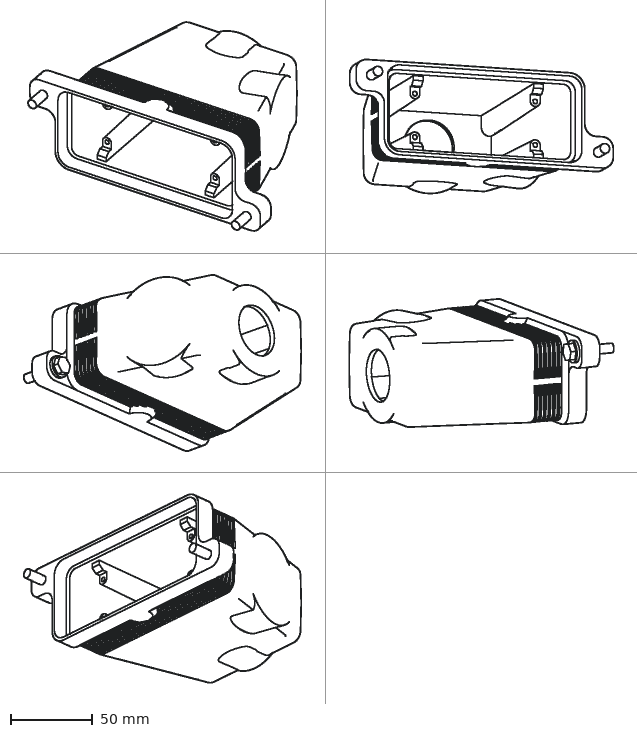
import cadquery as cq
import math


FLANGE_HALF_X = 64.5
FLANGE_HALF_Z = 29.0
FLANGE_THICKNESS = 12.2
FLANGE_CORNER_RADIUS = 10.0
EAR_END_X = 82.75
EAR_INNER_Z = 9.5
EAR_CORNER_RADIUS = 7.0
SHOULDER_HEIGHT = 3.2

HOOD_LENGTH = 110.0
HOOD_HALF_X = 61.5
HOOD_HALF_Z = 26.1
KINK_Y = 35.4
SIDE_ANGLE = 15.0
DRAFT_ANGLE = 1.0
HOOD_CORNER_RADIUS = 7.0
END_FILLET = 3.0

PANEL_DEPTH = 0.3
PANEL_BOTTOM_Y = 43.2
PANEL_TOP_Y = 99.2
PANEL_SLOPE = 1.5

GROOVE_COUNT = 6
GROOVE_PITCH = 3.06
FIRST_GROOVE_Y = 17.5
GROOVE_DEPTH = 0.6
GROOVE_MOUTH = 2.5
GROOVE_FLOOR = 0.5
GROOVE_GAP_HALF = 2.2

BOSS_RADIUS = FLANGE_HALF_Z
BOSS_TIP_RADIUS = 22.0
BOSS_TAIL_FILLET = 5.5
END_BOSS_START_Y = 90.3
BOSS_INSET = 0.35
SIDE_BOSS_Y = 75.0
SIDE_BOSS_LENGTH = 22.0
CABLE_HOLE_RADIUS = 16.1

THUMB_PAD_RADIUS = 8.0
THUMB_PAD_HEIGHT = 4.0

RECESS_STAGES = [
    (0.0, 62.5, 26.9, 8.0),
    (2.5, 62.0, 26.4, 7.5),
    (6.0, 62.0, 26.4, 7.5),
    (9.0, 61.3, 25.7, 6.8),
]

CAVITY_MOUTH_Y = RECESS_STAGES[-1][0]
CAVITY_KINK_Y = 36.0
CAVITY_END_Y = 106.5
CAVITY_MOUTH_HALF_X = 58.3
CAVITY_KINK_HALF_X = 57.3
CAVITY_END_HALF_X = 40.1
CAVITY_MOUTH_HALF_Z = 23.4
CAVITY_END_HALF_Z = 20.9
CAVITY_CORNER_RADIUS = 5.0

POST_X = 38.7
POST_Z = 13.5
POST_FACE_Y = 18.4
POST_RADIUS = 3.15
POST_BASE_RADIUS = 5.1
POST_BACK_Y = 107.5
POST_ROOT_Z = 24.0
POST_HOLE_RADIUS = 1.4
POST_HOLE_DEPTH = 10.0
TONGUE_SIDE_Z = 17.6
TONGUE_TIP_Z = 20.5
TONGUE_SHOULDER_Y = 15.3
TONGUE_TIP_Y = 12.2

SCREW_X = 73.0
SCREW_Z = 19.4
SCREW_RADIUS = 3.0
SCREW_PROJECTION = 13.0
WASHER_RADIUS = 6.9
WASHER_THICKNESS = 1.8
HEX_ACROSS_CORNERS = 11.5
HEX_HEIGHT = 3.6
HEX_TURN = 12.0

CUTTER_SIZE = 4 * EAR_END_X


def mirrored_outline(half_outline):
    """Close a right-hand chain of (x, y) points with its mirror image about x = 0."""
    return half_outline + [(-x, y) for x, y in reversed(half_outline)]


def upright(y):
    """Workplane at height y with its normal along +Y and its second axis along +Z."""
    return cq.Workplane(cq.Plane(origin=(0, y, 0), xDir=(-1, 0, 0), normal=(0, 1, 0)))


def rounded_wire(y, half_x, half_z, radius):
    """Outline of a rounded rectangle at height y, taken from the foot of a short block."""
    outline = cq.Sketch().rect(2 * half_x, 2 * half_z).vertices().fillet(radius)
    return upright(y).placeSketch(outline).extrude(radius).faces("<Y").wires().val()


def staged_solid(stages):
    """Stack of straight-sided lofts through successive rounded rectangles."""
    wires = [rounded_wire(*stage) for stage in stages]
    pieces = [cq.Solid.makeLoft([low, high], True) for low, high in zip(wires, wires[1:])]
    body = cq.Workplane(pieces[0])
    for piece in pieces[1:]:
        body = body.union(cq.Workplane(piece))
    return body


def make_flange():
    """Flange plate with two diagonally opposite screw ears, and the shoulder on top of it."""
    half_outline = [
        (EAR_END_X, -FLANGE_HALF_Z),
        (EAR_END_X, -EAR_INNER_Z),
        (FLANGE_HALF_X, -EAR_INNER_Z),
        (FLANGE_HALF_X, FLANGE_HALF_Z),
    ]
    outline = half_outline + [(-x, -z) for x, z in half_outline]
    plate = cq.Workplane("XZ").polyline(outline).close().extrude(-FLANGE_THICKNESS)
    for x, z in outline:
        is_body_corner = abs(x) == FLANGE_HALF_X and abs(z) == FLANGE_HALF_Z
        radius = FLANGE_CORNER_RADIUS if is_body_corner else EAR_CORNER_RADIUS
        corner = cq.selectors.NearestToPointSelector((x, FLANGE_THICKNESS / 2, z))
        plate = plate.edges("|Y").edges(corner).fillet(radius)
    shoulder = staged_solid([
        (FLANGE_THICKNESS, FLANGE_HALF_X, FLANGE_HALF_Z, FLANGE_CORNER_RADIUS),
        (FLANGE_THICKNESS + SHOULDER_HEIGHT, HOOD_HALF_X, HOOD_HALF_Z, HOOD_CORNER_RADIUS),
    ])
    return plate.union(shoulder)


def hood_half_width(y):
    """Half width of the hood on the parting plane, above the kink."""
    return HOOD_HALF_X - (y - KINK_Y) * math.tan(math.radians(SIDE_ANGLE))


def make_hood():
    """Solid hood standing on the flange, drafted both ways from the parting plane."""
    half_outline = [
        (HOOD_HALF_X, 0),
        (HOOD_HALF_X, KINK_Y),
        (hood_half_width(HOOD_LENGTH), HOOD_LENGTH),
    ]
    outline = mirrored_outline(half_outline)
    upper = cq.Workplane("XY").polyline(outline).close().extrude(HOOD_HALF_Z, taper=DRAFT_ANGLE)
    upper = upper.edges(">Z").edges("not |X").fillet(HOOD_CORNER_RADIUS)
    upper = upper.faces(">Y").edges("not(<Z)").fillet(END_FILLET)
    hood = upper.union(upper.mirror("XY"))
    flange_space = upright(0).rect(CUTTER_SIZE, CUTTER_SIZE).extrude(FLANGE_THICKNESS)
    return hood.cut(flange_space)


def make_panel_cut():
    """Material removed from both broad faces to sink the panels."""
    outline = [
        (PANEL_BOTTOM_Y, HOOD_HALF_Z),
        (PANEL_BOTTOM_Y + PANEL_SLOPE, HOOD_HALF_Z - PANEL_DEPTH),
        (PANEL_TOP_Y - PANEL_SLOPE, HOOD_HALF_Z - PANEL_DEPTH),
        (PANEL_TOP_Y, HOOD_HALF_Z),
    ]
    cut = cq.Workplane("YZ").polyline(outline).close().extrude(HOOD_HALF_X, both=True)
    return cut.union(cut.mirror("XY"))


def make_grooves():
    """Grip grooves with sloped flanks, running round the hood except beside the parting plane."""
    grooves = cq.Workplane("XY")
    half_mouth = GROOVE_MOUTH / 2
    half_floor = GROOVE_FLOOR / 2
    outer = (HOOD_HALF_X, HOOD_HALF_Z, HOOD_CORNER_RADIUS)
    inner = tuple(size - GROOVE_DEPTH for size in outer)
    for index in range(GROOVE_COUNT):
        y = FIRST_GROOVE_Y + index * GROOVE_PITCH
        core = staged_solid([
            (y - half_mouth, *outer),
            (y - half_floor, *inner),
            (y + half_floor, *inner),
            (y + half_mouth, *outer),
        ])
        ring = upright(y - half_mouth).rect(CUTTER_SIZE, CUTTER_SIZE).extrude(GROOVE_MOUTH)
        grooves = grooves.add(ring.cut(core))
    strip = cq.Workplane("XY").box(CUTTER_SIZE, CUTTER_SIZE, 2 * GROOVE_GAP_HALF)
    return grooves.combine().cut(strip)


def make_boss(length):
    """Boss along +Y ending at y = length, with a 45 degree tail below y = 0."""
    tail = BOSS_RADIUS - BOSS_TIP_RADIUS
    profile = [(0, -tail), (BOSS_TIP_RADIUS, -tail), (BOSS_RADIUS, 0), (BOSS_RADIUS, length), (0, length)]
    boss = cq.Workplane("XY").polyline(profile).close().revolve(360, (0, 0, 0), (0, 1, 0))
    tail_edge = cq.selectors.RadiusNthSelector(-1)
    return boss.edges("not >Y").edges("%CIRCLE").edges(tail_edge).fillet(BOSS_TAIL_FILLET)


def make_end_boss():
    length = HOOD_LENGTH - BOSS_INSET - END_BOSS_START_Y
    return make_boss(length).translate((0, END_BOSS_START_Y, 0))


def make_side_boss():
    """Boss square to the leaning +X side."""
    boss = make_boss(SIDE_BOSS_LENGTH - BOSS_INSET).translate((0, -SIDE_BOSS_LENGTH, 0))
    boss = boss.rotate((0, 0, 0), (0, 0, 1), SIDE_ANGLE - 90)
    return boss.translate((hood_half_width(SIDE_BOSS_Y), SIDE_BOSS_Y, 0))


def make_thumb_pads():
    """Half-round pads level with the flange edge, sloping down to the broad faces."""
    foot = FLANGE_HALF_Z - THUMB_PAD_HEIGHT
    cone = cq.Solid.makeCone(
        THUMB_PAD_RADIUS + THUMB_PAD_HEIGHT, THUMB_PAD_RADIUS, THUMB_PAD_HEIGHT,
        cq.Vector(0, FLANGE_THICKNESS, foot), cq.Vector(0, 0, 1))
    hood_side = upright(FLANGE_THICKNESS).rect(CUTTER_SIZE, CUTTER_SIZE).extrude(HOOD_LENGTH)
    pad = cq.Workplane(cone).intersect(hood_side)
    return pad.union(pad.mirror("XY"))


def make_cavity():
    """Interior with kinked sides, rounded along its four lengthwise corners."""
    half_plan = [
        (CAVITY_MOUTH_HALF_X, CAVITY_MOUTH_Y),
        (CAVITY_KINK_HALF_X, CAVITY_KINK_Y),
        (CAVITY_END_HALF_X, CAVITY_END_Y),
    ]
    plan = mirrored_outline(half_plan)
    wedge = [
        (CAVITY_MOUTH_Y, CAVITY_MOUTH_HALF_Z),
        (CAVITY_END_Y, CAVITY_END_HALF_Z),
        (CAVITY_END_Y, -CAVITY_END_HALF_Z),
        (CAVITY_MOUTH_Y, -CAVITY_MOUTH_HALF_Z),
    ]
    cavity = cq.Workplane("XY").polyline(plan).close().extrude(CAVITY_MOUTH_HALF_Z, both=True)
    cavity = cavity.intersect(cq.Workplane("YZ").polyline(wedge).close().extrude(HOOD_HALF_X, both=True))
    return cavity.edges("not(|X or |Z)").fillet(CAVITY_CORNER_RADIUS)


def make_cable_hole():
    """Round opening through the end wall."""
    return upright(CAVITY_KINK_Y).circle(CABLE_HOLE_RADIUS).extrude(HOOD_LENGTH)


def make_post():
    """Tapered screw post on the +X, +Z side with a locating tongue beside the wall."""
    sections = []
    for y, radius in [(POST_FACE_Y, POST_RADIUS), (POST_BACK_Y, POST_BASE_RADIUS)]:
        section = (
            cq.Workplane("XZ", origin=(POST_X, y, 0))
            .moveTo(-radius, POST_ROOT_Z)
            .lineTo(-radius, POST_Z)
            .threePointArc((0, POST_Z - radius), (radius, POST_Z))
            .lineTo(radius, POST_ROOT_Z)
            .close()
        )
        sections.append(section.wires().val())
    post = cq.Workplane(cq.Solid.makeLoft(sections, True))
    tongue_outline = [
        (POST_FACE_Y, TONGUE_SIDE_Z),
        (TONGUE_SHOULDER_Y, TONGUE_SIDE_Z),
        (TONGUE_TIP_Y, TONGUE_TIP_Z),
        (TONGUE_TIP_Y, CAVITY_MOUTH_HALF_Z),
        (POST_FACE_Y, POST_ROOT_Z),
    ]
    tongue = cq.Workplane("YZ", origin=(POST_X, 0, 0)).polyline(tongue_outline).close()
    post = post.union(tongue.extrude(POST_RADIUS, both=True))
    hole = cq.Workplane("XZ", origin=(POST_X, POST_FACE_Y, POST_Z))
    return post.cut(hole.circle(POST_HOLE_RADIUS).extrude(-POST_HOLE_DEPTH))


def make_posts():
    post = make_post()
    pair = post.union(post.mirror("XY"))
    return pair.union(pair.mirror("YZ"))


def make_screw():
    shaft = upright(-SCREW_PROJECTION).circle(SCREW_RADIUS).extrude(SCREW_PROJECTION + FLANGE_THICKNESS)
    washer = upright(FLANGE_THICKNESS).circle(WASHER_RADIUS).extrude(WASHER_THICKNESS)
    head = upright(FLANGE_THICKNESS + WASHER_THICKNESS).polygon(6, HEX_ACROSS_CORNERS).extrude(HEX_HEIGHT)
    head = head.rotate((0, 0, 0), (0, 1, 0), HEX_TURN)
    return shaft.union(washer).union(head)


solid_hood = make_hood()
flange = make_flange()
shell = solid_hood.cut(make_panel_cut()).cut(make_grooves())
shell = shell.union(flange).union(make_end_boss()).union(make_side_boss()).union(make_thumb_pads())
shell = shell.cut(staged_solid(RECESS_STAGES)).cut(make_cavity())

shell = shell.union(make_posts().intersect(solid_hood.union(flange)))
shell = shell.cut(make_cable_hole())

screw = make_screw()
for side in (1, -1):
    shell = shell.union(screw.translate((-side * SCREW_X, 0, side * SCREW_Z)))

result = shell